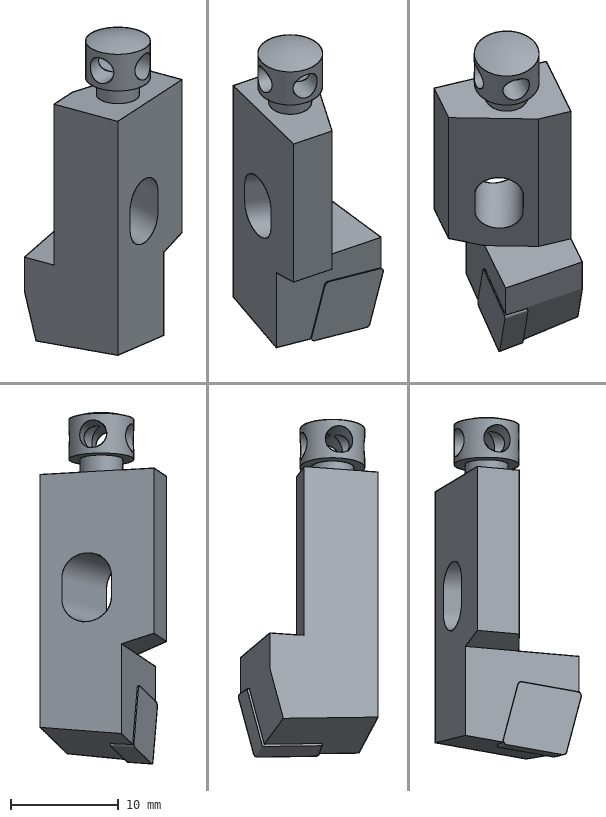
import cadquery as cq
import math


shank_width = 7.05
shank_depth = 11.0
shank_top = 26.0
shank_back_width = 4.15
slant_start = 3.17
shank_back_bottom = 10.37

foot_depth = 7.87
foot_top = 9.55
foot_front_width = 10.3
foot_knee = 6.05
foot_front_bottom = 2.08
side_flare = 1.0
bottom_flare = 1.02
side_angle = 15.0
bottom_angle = 5.0

slot_width = 4.48
slot_straight = 2.0
slot_y = 6.62
slot_z = 15.07

insert_edge = 6.35
insert_radius = 0.4
insert_thickness = 2.37
insert_proud = 0.13
insert_left = -11.45
insert_draft = 7.0

screw_x = -3.2
screw_y = 5.0
neck_diameter = 4.0
head_diameter = 6.0
head_bottom = 27.75
head_rim = 31.5
head_top = 32.0
cross_hole_diameter = 2.6
cross_hole_z = 29.6


def xz_plane(y):
    """Plane at depth y, with local axes along X and Z and its normal along -Y."""
    return cq.Workplane("XZ", origin=(0, y, 0))


def make_shank():
    shank = (
        cq.Workplane("XY", origin=(0, 0, foot_top))
        .moveTo(0, 0)
        .lineTo(-shank_width, 0)
        .lineTo(-shank_width, slant_start)
        .lineTo(-shank_back_width, shank_depth)
        .lineTo(0, shank_depth)
        .close()
        .extrude(shank_top - foot_top)
    )
    sloped_underside = (
        cq.Workplane("YZ", origin=(-shank_width, 0, 0))
        .moveTo(foot_depth, foot_top)
        .lineTo(shank_depth, shank_back_bottom)
        .lineTo(shank_depth, foot_top)
        .close()
        .extrude(shank_width)
    )
    return shank.cut(sloped_underside)


def foot_outline(width, bottom):
    """Corners of the foot in X and Z, for a given width and right-hand bottom height."""
    side_slope = math.tan(math.radians(side_angle))
    bottom_slope = math.tan(math.radians(bottom_angle))
    corner_x = (-width + side_slope * (foot_knee - bottom)) / (1 + side_slope * bottom_slope)
    corner_z = bottom + bottom_slope * corner_x
    return [
        (0, foot_top),
        (-width, foot_top),
        (-width, foot_knee),
        (corner_x, corner_z),
        (0, bottom),
    ]


def make_foot():
    front = foot_outline(foot_front_width, foot_front_bottom)
    back = foot_outline(foot_front_width + side_flare, foot_front_bottom - bottom_flare)
    return (
        xz_plane(foot_depth)
        .polyline(back)
        .close()
        .workplane(offset=foot_depth)
        .polyline(front)
        .close()
        .loft(ruled=True)
    )


def make_slot():
    slant_x = shank_width - shank_back_width
    slant_y = shank_depth - slant_start
    centre_x = -shank_width + slant_x * (slot_y - slant_start) / slant_y
    slanted_plane = cq.Plane(
        origin=(centre_x, slot_y, slot_z),
        xDir=(0, 0, 1),
        normal=(slant_y, -slant_x, 0),
    )
    return (
        cq.Workplane(slanted_plane)
        .slot2D(slot_straight + slot_width, slot_width)
        .extrude(2 * shank_width)
    )


def make_insert():
    """Rhombic insert that tapers toward the front, with rounded corners."""
    side = math.radians(side_angle)
    bottom = math.radians(bottom_angle)
    half_tip = (math.pi / 2 + side - bottom) / 2
    spacing = insert_edge - insert_radius * (math.tan(half_tip) + 1 / math.tan(half_tip))
    along_bottom = cq.Vector(math.cos(bottom), math.sin(bottom)) * spacing
    along_side = cq.Vector(-math.sin(side), math.cos(side)) * spacing
    tip = cq.Vector(insert_left + insert_radius - along_side.x, insert_radius)
    arc_centres = [tip, tip + along_bottom, tip + along_bottom + along_side, tip + along_side]
    return (
        xz_plane(foot_depth + insert_proud)
        .polyline([(centre.x, centre.y) for centre in arc_centres])
        .close()
        .offset2D(insert_radius)
        .extrude(insert_thickness, taper=insert_draft)
    )


def make_holder(insert):
    return make_shank().union(make_foot()).cut(make_slot()).cut(insert)


def make_screw():
    neck_radius = neck_diameter / 2
    head_radius = head_diameter / 2
    dome_height = head_top - head_rim
    dome_radius = (head_radius**2 + dome_height**2) / (2 * dome_height)
    dome_middle_x = head_radius / 2
    dome_middle_z = head_top - dome_radius + math.sqrt(dome_radius**2 - dome_middle_x**2)
    screw = (
        cq.Workplane("XZ")
        .moveTo(0, shank_top)
        .lineTo(neck_radius, shank_top)
        .lineTo(neck_radius, head_bottom)
        .lineTo(head_radius, head_bottom)
        .lineTo(head_radius, head_rim)
        .threePointArc((dome_middle_x, dome_middle_z), (0, head_top))
        .close()
        .revolve(360, (0, 0, 0), (0, 1, 0))
    )
    for plane in ("XZ", "YZ"):
        cross_hole = (
            cq.Workplane(plane, origin=(0, 0, cross_hole_z))
            .circle(cross_hole_diameter / 2)
            .extrude(head_diameter, both=True)
        )
        screw = screw.cut(cross_hole)
    return screw.translate((screw_x, screw_y, 0))


insert = make_insert()
holder = make_holder(insert)
screw = make_screw()

result = cq.Compound.makeCompound([holder.solids().val(), insert.val(), screw.solids().val()])